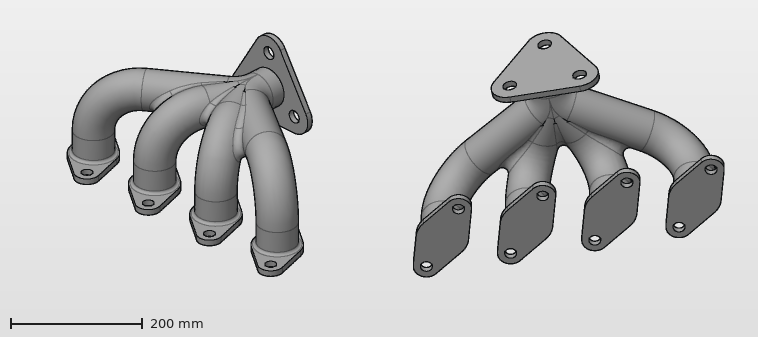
import cadquery as cq
import math

OVERALL_LENGTH = 499.0
RUNNER_COUNT = 4
PIPE_RADIUS = 32.5
RISER_HEIGHT = 40.0
ELBOW_RADIUS = 80.0
MERGE_BEND_RADIUS = 50.0
MERGE_Y = 130.0
CROTCH_FILLET = 10.0
CROTCH_CLEARANCE = 0.5
CROTCH_FILLET_END_Y = 107.0

PLATE_THICKNESS = 10.0

INLET_BOLT_OFFSET = 60.0
INLET_BOLT_ANGLE = 125.0
INLET_EAR_RADIUS = 20.0
INLET_HUB_RADIUS = 40.0
INLET_HOLE_RADIUS = 9.0
INLET_WELD_FILLET = 5.0
WELD_EDGE_MARGIN = 0.5

OUTLET_BACK_Y = 190.5
OUTLET_TOP_BOLT_RISE = 60.0
OUTLET_LOW_BOLT_DROP = 30.0
OUTLET_LOW_BOLT_SPREAD = 107.5
OUTLET_EAR_RADIUS = 29.0
OUTLET_HOLE_RADIUS = 10.5

bolt_x = INLET_BOLT_OFFSET * math.cos(math.radians(INLET_BOLT_ANGLE))
bolt_y = INLET_BOLT_OFFSET * math.sin(math.radians(INLET_BOLT_ANGLE))
inlet_width = 2 * (abs(bolt_x) + INLET_EAR_RADIUS)
runner_pitch = (OVERALL_LENGTH - inlet_width) / (RUNNER_COUNT - 1)
runner_places = [(i - (RUNNER_COUNT - 1) / 2) * runner_pitch for i in range(RUNNER_COUNT)]
elbow_start_height = PLATE_THICKNESS + RISER_HEIGHT
axis_height = elbow_start_height + ELBOW_RADIUS
neck_end_y = OUTLET_BACK_Y - PLATE_THICKNESS


def point_on_circle(circle, angle):
    """Point of a circle, given as (x, y, radius), at an angle from the x axis."""
    x, y, radius = circle
    return (x + radius * math.cos(angle), y + radius * math.sin(angle))


def belt_outline(plane, circles):
    """Closed outline of tangent lines and arcs around circles listed anticlockwise."""
    count = len(circles)
    tangent_angles = []
    for i, (x, y, radius) in enumerate(circles):
        next_x, next_y, next_radius = circles[(i + 1) % count]
        heading = math.atan2(next_y - y, next_x - x)
        spacing = math.hypot(next_x - x, next_y - y)
        tangent_angles.append(heading - math.acos((radius - next_radius) / spacing))

    outline = plane.moveTo(*point_on_circle(circles[-1], tangent_angles[-1]))
    for i, circle in enumerate(circles):
        arrive = tangent_angles[i - 1]
        sweep_angle = (tangent_angles[i] - arrive) % (2 * math.pi)
        outline = outline.lineTo(*point_on_circle(circle, arrive))
        outline = outline.threePointArc(
            point_on_circle(circle, arrive + sweep_angle / 2),
            point_on_circle(circle, tangent_angles[i]),
        )
    return outline.close()


def make_inlet_flange(x):
    """Level plate with a hub under one pipe and a bolt hole in each of its two ears."""
    bolts = [(x + bolt_x, bolt_y), (x - bolt_x, -bolt_y)]
    hub = (x, 0, INLET_HUB_RADIUS)
    circles = [(*bolts[0], INLET_EAR_RADIUS), hub, (*bolts[1], INLET_EAR_RADIUS), hub]
    plate = belt_outline(cq.Workplane("XY"), circles).extrude(PLATE_THICKNESS)
    bolt_holes = cq.Workplane("XY").pushPoints(bolts).circle(INLET_HOLE_RADIUS)
    return plate.cut(bolt_holes.extrude(PLATE_THICKNESS))


def make_runner(x):
    """Pipe that rises from an inlet, turns level, then bends into the outlet neck."""
    run_length = math.hypot(x, MERGE_Y)
    toward = cq.Vector(-x / run_length, MERGE_Y / run_length, 0)
    inlet_axis_top = cq.Vector(x, 0, axis_height)
    tangent_length = MERGE_BEND_RADIUS * math.tan(math.acos(toward.y) / 2)

    elbow_start = cq.Vector(x, 0, elbow_start_height)
    elbow_end = inlet_axis_top + toward * ELBOW_RADIUS
    bend_start = inlet_axis_top + toward * (run_length - tangent_length)
    bend_end = cq.Vector(0, MERGE_Y + tangent_length, axis_height)
    neck_end = cq.Vector(0, neck_end_y, axis_height)

    path = cq.Wire.assembleEdges([
        cq.Edge.makeLine(cq.Vector(x, 0, 0), elbow_start),
        cq.Edge.makeTangentArc(elbow_start, cq.Vector(0, 0, 1), elbow_end),
        cq.Edge.makeLine(elbow_end, bend_start),
        cq.Edge.makeTangentArc(bend_start, toward, bend_end),
        cq.Edge.makeLine(bend_end, neck_end),
    ])
    section_plane = cq.Plane(origin=(x, 0, 0), xDir=(0, -1, 0), normal=(0, 0, 1))
    section = cq.Workplane(section_plane).circle(PIPE_RADIUS)
    return section.sweep(cq.Workplane(path))


def round_crotches(spread_pipes):
    """Fillet the curves where neighbouring pipes meet."""
    reach = PIPE_RADIUS - CROTCH_CLEARANCE
    crotch_zone = cq.selectors.BoxSelector(
        (-OVERALL_LENGTH, 0, axis_height - reach),
        (OVERALL_LENGTH, OUTLET_BACK_Y, axis_height + reach),
        boundingbox=True,
    )
    crotches = crotch_zone - cq.selectors.TypeSelector("LINE")
    return spread_pipes.edges(crotches).fillet(CROTCH_FILLET)


def make_pipes():
    """The runners joined in the common neck, with the crotches between them rounded."""
    pipes = make_runner(runner_places[0])
    for x in runner_places[1:]:
        pipes = pipes.union(make_runner(x))

    collector_zone = (
        cq.Workplane("XY", origin=(0, CROTCH_FILLET_END_Y, 0))
        .box(OVERALL_LENGTH, OUTLET_BACK_Y, 2 * axis_height, centered=(True, False, False))
    )
    spread_pipes = pipes.cut(collector_zone)
    collector = pipes.intersect(collector_zone)
    return round_crotches(spread_pipes).union(collector)


def add_inlet_flange(pipes, x):
    """Join a flange to the foot of the pipe at x, with a weld fillet around the pipe."""
    joined = pipes.union(make_inlet_flange(x))
    reach = PIPE_RADIUS + WELD_EDGE_MARGIN
    weld_edge = cq.selectors.BoxSelector(
        (x - reach, -reach, PLATE_THICKNESS - WELD_EDGE_MARGIN),
        (x + reach, reach, PLATE_THICKNESS + WELD_EDGE_MARGIN),
        boundingbox=True,
    )
    return joined.edges(weld_edge).fillet(INLET_WELD_FILLET)


def make_manifold():
    """One solid of all the pipes and their inlet flanges."""
    manifold = make_pipes()
    for x in runner_places:
        manifold = add_inlet_flange(manifold, x)
    return manifold


def make_outlet_flange():
    """Upright triangular plate that closes onto the end of the neck."""
    bolts = [
        (0, axis_height + OUTLET_TOP_BOLT_RISE),
        (-OUTLET_LOW_BOLT_SPREAD / 2, axis_height - OUTLET_LOW_BOLT_DROP),
        (OUTLET_LOW_BOLT_SPREAD / 2, axis_height - OUTLET_LOW_BOLT_DROP),
    ]
    plane = cq.Workplane("XZ", origin=(0, OUTLET_BACK_Y, 0))
    plate = belt_outline(plane, [(*bolt, OUTLET_EAR_RADIUS) for bolt in bolts])
    plate = plate.extrude(PLATE_THICKNESS)
    bolt_holes = plane.pushPoints(bolts).circle(OUTLET_HOLE_RADIUS).extrude(PLATE_THICKNESS)
    return plate.cut(bolt_holes)


manifold = make_manifold()
outlet_flange = make_outlet_flange()
result = cq.Compound.makeCompound([manifold.val(), outlet_flange.val()])